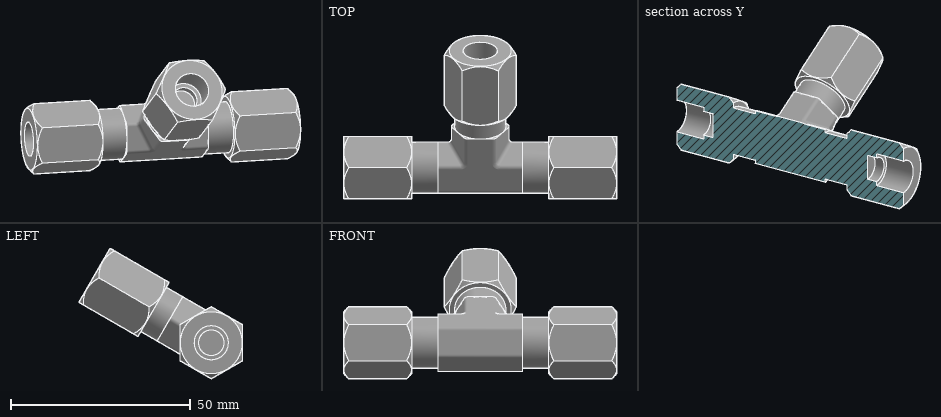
import cadquery as cq
import math

branch_tilt = 30.0
run_sides = (-1, 1)
run_end = 38.1
branch_end = 37.6

hexagon_sides = 6

body_width = 14.29
run_body_end = 11.8
branch_body_end = 13.3
body_fillet = 1.25

nut_width = 17.44
nut_length = 19.05
nut_face_diameter = 17.25

tube_diameter = 9.5
tube_depth = 9.0
seat_diameter = 7.1
seat_depth = 12.0


def corner_diameter(width_across_flats):
    """Across-corners size of a hexagon."""
    return width_across_flats / math.cos(math.radians(180 / hexagon_sides))


def hexagon(width_across_flats, start, length):
    """Hexagonal bar along Z, with corners on the X axis."""
    bar = cq.Workplane("XY").workplane(offset=start)
    return bar.polygon(hexagon_sides, corner_diameter(width_across_flats)).extrude(length)


def cylinder(diameter, start, length):
    """Round bar along Z."""
    return cq.Workplane("XY").workplane(offset=start).circle(diameter / 2).extrude(length)


def nut(end):
    """Nut along Z with its outer face at `end` and 45 degree chamfered corners."""
    blank = hexagon(nut_width, end - nut_length, nut_length)
    chamfer = (corner_diameter(nut_width) - nut_face_diameter) / 2
    envelope = cylinder(corner_diameter(nut_width), end - nut_length, nut_length)
    return blank.intersect(envelope.faces("<Z or >Z").chamfer(chamfer))


def socket(end):
    """Stepped hole entering along Z from the nut face at `end`."""
    tube = cylinder(tube_diameter, end - tube_depth, tube_depth)
    seat = cylinder(seat_diameter, end - seat_depth, seat_depth)
    return tube.union(seat)


def neck(end):
    """Round neck along Z from the tee centre to the nut."""
    return cylinder(body_width, 0, end - nut_length)


def aim_branch(shape):
    """Turn a shape built along Z to the branch direction; its corners stay on X."""
    return shape.rotate((0, 0, 0), (1, 0, 0), branch_tilt - 90)


def aim_run(shape, side):
    """Turn a shape built along Z to +X or -X; its corners move to Z."""
    return shape.rotate((0, 0, 0), (0, 1, 0), side * 90)


def end_edges(body, direction):
    """Edges of the flat body end furthest along `direction`."""
    return body.faces(cq.selectors.DirectionMinMaxSelector(direction)).edges().vals()


def tee_body():
    """Two hexagonal bars sharing a pair of flats, every edge rounded except at the three ends."""
    run = aim_run(hexagon(body_width, -run_body_end, 2 * run_body_end), 1)
    branch = aim_branch(hexagon(body_width, 0, branch_body_end))
    body = run.union(branch)

    tilt = math.radians(branch_tilt)
    branch_direction = cq.Vector(0, math.cos(tilt), math.sin(tilt))
    sharp = end_edges(body, branch_direction)
    for side in run_sides:
        sharp += end_edges(body, cq.Vector(side, 0, 0))
    rounded = [edge for edge in body.edges().vals() if not any(edge.isSame(other) for other in sharp)]
    return body.newObject(rounded).fillet(body_fillet)


result = tee_body()

for side in run_sides:
    result = result.union(aim_run(neck(run_end), side))
    result = result.union(aim_run(nut(run_end), side))
result = result.union(aim_branch(neck(branch_end)))
result = result.union(aim_branch(nut(branch_end)))

for side in run_sides:
    result = result.cut(aim_run(socket(run_end), side))
result = result.cut(aim_branch(socket(branch_end)))